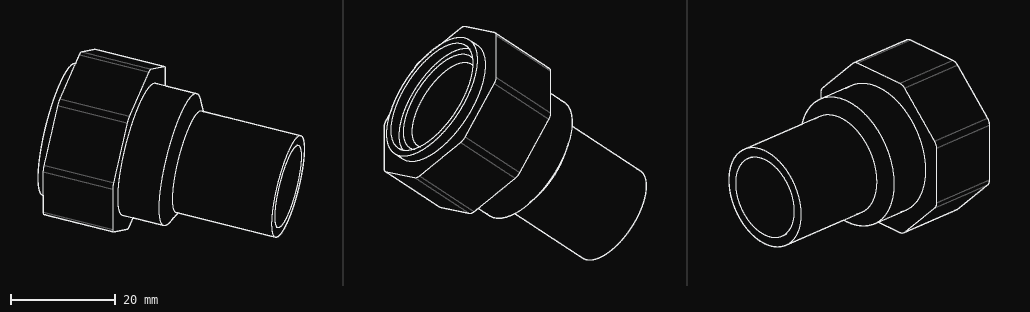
import cadquery as cq
import math

total_length = 46.0
collar_length = 2.05
nut_end = 16.05
body_end = 24.35
taper_angle = 60.0

body_diameter = 26.0
tube_diameter = 20.0
nut_across_flats = 32.0
nut_corner_radius = 1.85

recess_diameter = 23.45
recess_depth = 2.05
entry_diameter = 20.98
socket_diameter = 18.65
bore_diameter = 16.2
entry_angle = 45.0


def cone_length(large_diameter, small_diameter, angle):
    """Axial length of a cone between two diameters."""
    return (large_diameter - small_diameter) / 2 / math.tan(math.radians(angle))


def revolve_profile(stations):
    """Solid of revolution about X through (x, diameter) stations."""
    start_x = stations[0][0]
    end_x = stations[-1][0]
    outline = [(x, diameter / 2) for x, diameter in stations]
    profile = cq.Workplane("XY").polyline([(start_x, 0), *outline, (end_x, 0)]).close()
    return profile.revolve(360, (0, 0, 0), (1, 0, 0))


body_taper_end = body_end + cone_length(body_diameter, tube_diameter, taper_angle)
body = revolve_profile([
    (0, body_diameter),
    (body_end, body_diameter),
    (body_taper_end, tube_diameter),
    (total_length, tube_diameter),
])

def square_bar(turn):
    """Square bar along X over the nut length, turned about X by an angle in degrees."""
    bar = cq.Workplane("YZ", origin=(collar_length, 0, 0)).rect(nut_across_flats, nut_across_flats)
    return bar.extrude(nut_end - collar_length).rotate((0, 0, 0), (1, 0, 0), turn)


nut = square_bar(0).intersect(square_bar(45)).edges("|X").fillet(nut_corner_radius)

entry_end = recess_depth + cone_length(entry_diameter, socket_diameter, entry_angle)
shoulder_end = body_end + cone_length(socket_diameter, bore_diameter, taper_angle)
cavity = revolve_profile([
    (0, recess_diameter),
    (recess_depth, recess_diameter),
    (recess_depth, entry_diameter),
    (entry_end, socket_diameter),
    (body_end, socket_diameter),
    (shoulder_end, bore_diameter),
    (total_length, bore_diameter),
])

result = body.union(nut).cut(cavity)